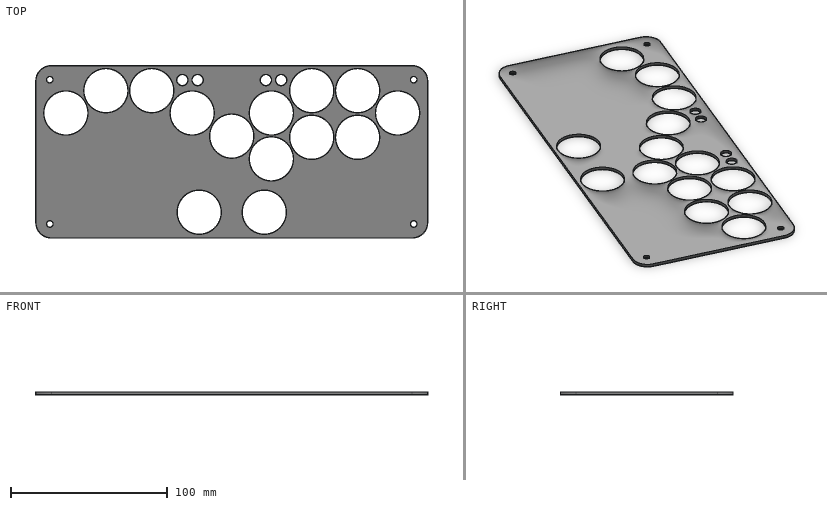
import cadquery as cq

LENGTH = 250.0
WIDTH = 110.0
THICKNESS = 2.0
CORNER_RADIUS = 10.0

SCREW_DIAMETER = 4.0
SCREW_INSET = 9.0

BUTTON_DIAMETER = 28.0
FIRST_COLUMN = 25.2
SECOND_COLUMN = 51.0
THIRD_COLUMN = 80.2
OUTER_COLUMN = 105.8
THUMB_COLUMN = 20.8
TOP_ROW = 39.0
SHOULDER_ROW = 24.8
CENTRE_ROW = 10.0
LOWER_ROW = 9.2
DROPPED_ROW = -4.5
THUMB_ROW = -38.5

OPTION_DIAMETER = 7.0
OPTION_ROW = 45.8
OPTION_INNER = 21.8
OPTION_OUTER = 31.5


def mirrored(column, row):
    """Two points at the same height, either side of the centre line."""
    return [(-column, row), (column, row)]


button_points = [
    *mirrored(OUTER_COLUMN, SHOULDER_ROW),
    *mirrored(THIRD_COLUMN, TOP_ROW),
    *mirrored(SECOND_COLUMN, TOP_ROW),
    *mirrored(FIRST_COLUMN, SHOULDER_ROW),
    *mirrored(THUMB_COLUMN, THUMB_ROW),
    (0, CENTRE_ROW),
    (FIRST_COLUMN, DROPPED_ROW),
    (SECOND_COLUMN, LOWER_ROW),
    (THIRD_COLUMN, LOWER_ROW),
]

option_points = mirrored(OPTION_INNER, OPTION_ROW) + mirrored(OPTION_OUTER, OPTION_ROW)

screw_column = LENGTH / 2 - SCREW_INSET
screw_row = WIDTH / 2 - SCREW_INSET
screw_points = mirrored(screw_column, screw_row) + mirrored(screw_column, -screw_row)

plate = cq.Workplane("XY").box(LENGTH, WIDTH, THICKNESS).edges("|Z").fillet(CORNER_RADIUS)

hole_groups = [
    (button_points, BUTTON_DIAMETER),
    (option_points, OPTION_DIAMETER),
    (screw_points, SCREW_DIAMETER),
]
for points, diameter in hole_groups:
    plate = plate.faces(">Z").workplane(origin=(0, 0, 0)).pushPoints(points).hole(diameter)

result = plate